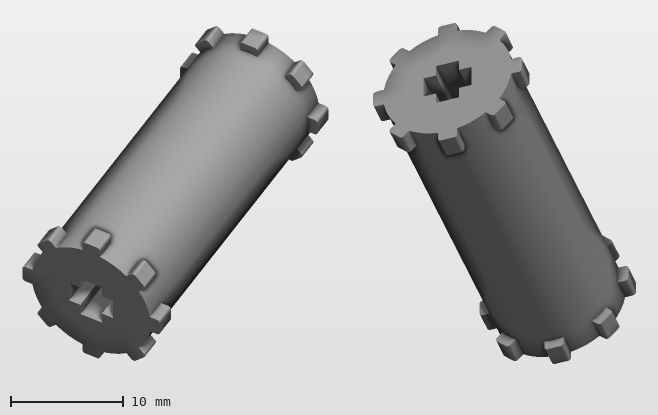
import cadquery as cq

length = 30.58
barrel_diameter = 12.1
tip_diameter = 14.0

tooth_count = 8
tooth_width = 1.8
tooth_length = 2.02
tooth_edge_radius = 0.3

cross_span = 4.5
cross_arm_width = 2.2

barrel_radius = barrel_diameter / 2
tip_radius = tip_diameter / 2
tooth_root_radius = barrel_radius - tooth_width / 2


def make_barrel():
    return cq.Workplane("XZ").circle(barrel_radius).extrude(length / 2, both=True)


def make_tooth(angle, center_y):
    """One flat-topped tooth with rounded long outer edges, turned about Y."""
    height = tip_radius - tooth_root_radius
    tooth = (
        cq.Workplane("XY")
        .box(tooth_width, tooth_length, height)
        .edges("|Y and >Z")
        .fillet(tooth_edge_radius)
        .translate((0, center_y, tip_radius - height / 2))
    )
    return tooth.rotate((0, 0, 0), (0, 1, 0), angle)


def make_cross_bore():
    upright = cq.Workplane("XY").box(cross_arm_width, length, cross_span)
    crossbar = cq.Workplane("XY").box(cross_span, length, cross_arm_width)
    return upright.union(crossbar)


result = make_barrel()
ring_offset = (length - tooth_length) / 2
for center_y in (-ring_offset, ring_offset):
    for index in range(tooth_count):
        result = result.union(make_tooth(index * 360 / tooth_count, center_y))
result = result.cut(make_cross_bore()).clean()